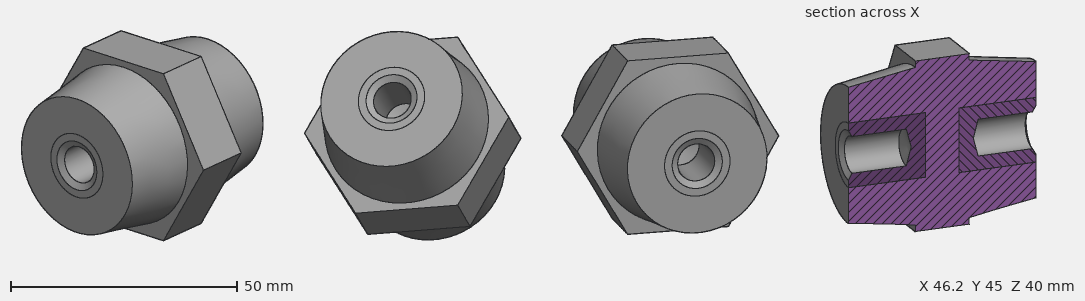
import cadquery as cq
import math


across_corners = 46.2
total_length = 45.0
collar_width = 13.0
boss_root_diameter = 37.0
boss_end_diameter = 32.0

insert_diameter = 15.0
insert_length = 18.48

bore_diameter = 8.5
bore_depth = 13.85
countersink_diameter = 11.5
countersink_angle = 120.0
drill_point_angle = 150.0

half_length = total_length / 2
bore_radius = bore_diameter / 2
countersink_radius = countersink_diameter / 2
countersink_depth = (countersink_radius - bore_radius) / math.tan(math.radians(countersink_angle / 2))
drill_point_depth = bore_radius / math.tan(math.radians(drill_point_angle / 2))

end_turns = (0, 180)


def turn_about_z(body, angle):
    return body.rotate((0, 0, 0), (0, 0, 1), angle)


def make_boss():
    """Tapered boss at the -Y end, revolved about Y from half of its section."""
    root_y = -collar_width / 2
    return (
        cq.Workplane("YZ")
        .moveTo(root_y, 0)
        .lineTo(root_y, boss_root_diameter / 2)
        .lineTo(-half_length, boss_end_diameter / 2)
        .lineTo(-half_length, 0)
        .close()
        .revolve(360, (0, 0, 0), (1, 0, 0))
    )


def make_insert_blank():
    """Solid plug that fills the insert's pocket at the -Y end."""
    return (
        cq.Workplane("XZ", origin=(0, -half_length, 0))
        .circle(insert_diameter / 2)
        .extrude(-insert_length)
    )


def make_bore():
    """Volume removed by the blind hole, revolved about Y from half of its section."""
    mouth_y = -half_length
    bottom_y = mouth_y + bore_depth
    return (
        cq.Workplane("XY")
        .moveTo(0, mouth_y)
        .lineTo(countersink_radius, mouth_y)
        .lineTo(bore_radius, mouth_y + countersink_depth)
        .lineTo(bore_radius, bottom_y)
        .lineTo(0, bottom_y + drill_point_depth)
        .close()
        .revolve(360, (0, 0, 0), (0, 1, 0))
    )


def make_housing():
    """Hexagonal collar with both bosses and a pocket for each insert."""
    housing = cq.Workplane("XZ").polygon(6, across_corners).extrude(collar_width / 2, both=True)
    for angle in end_turns:
        housing = housing.union(turn_about_z(make_boss(), angle))
    for angle in end_turns:
        housing = housing.cut(turn_about_z(make_insert_blank(), angle))
    return housing


def make_insert(angle):
    """Insert turned to its end of the housing, flush with the boss's end face."""
    insert = make_insert_blank().cut(make_bore())
    return turn_about_z(insert, angle)


housing = make_housing()
inserts = [make_insert(angle) for angle in end_turns]

result = cq.Compound.makeCompound([housing.val(), *[insert.val() for insert in inserts]])